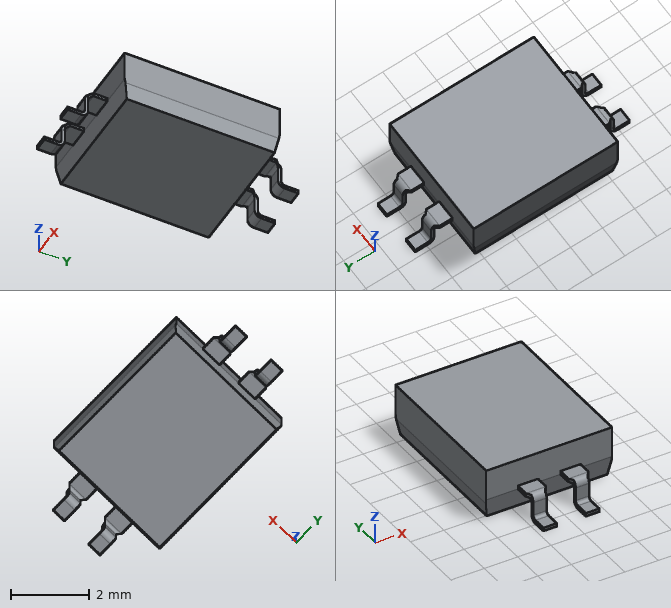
import cadquery as cq
import math

span_y = 6.7
height = 1.61

body_x = 3.77
body_y = 4.5
standoff = 0.1
draft_angle = math.radians(10)
end_break_z = 0.7
side_break_z = 0.57

lead_thickness = 0.1
lead_pitch = 1.27
lead_wide = 0.6
lead_narrow = 0.4
foot_to_riser = 0.495
inner_radius = 0.1
outer_radius = inner_radius + lead_thickness
embed = 0.07


def body_section(plane, width, break_z, length):
    """Prism whose section is straight above break_z and tapers below it."""
    half = width / 2
    half_bottom = half - (break_z - standoff) * math.tan(draft_angle)
    outline = [
        (-half, height),
        (half, height),
        (half, break_z),
        (half_bottom, standoff),
        (-half_bottom, standoff),
        (-half, break_z),
    ]
    return cq.Workplane(plane).polyline(outline).close().extrude(length / 2, both=True)


def make_body():
    across_x = body_section("XZ", body_x, side_break_z, body_y)
    across_y = body_section("YZ", body_y, end_break_z, body_x)
    return across_x.intersect(across_y)


def make_lead():
    """Gull-wing lead on the -Y end, centred on X = 0."""
    tip = -span_y / 2
    riser_outer = tip + foot_to_riser
    riser_inner = riser_outer + lead_thickness
    root = -body_y / 2 + embed
    shoulder_bottom = end_break_z
    shoulder_top = shoulder_bottom + lead_thickness
    bend_start = riser_outer + outer_radius

    strip = (
        cq.Workplane("YZ")
        .moveTo(tip, 0)
        .lineTo(riser_inner - outer_radius, 0)
        .radiusArc((riser_inner, outer_radius), -outer_radius)
        .lineTo(riser_inner, shoulder_bottom - inner_radius)
        .radiusArc((riser_inner + inner_radius, shoulder_bottom), inner_radius)
        .lineTo(root, shoulder_bottom)
        .lineTo(root, shoulder_top)
        .lineTo(bend_start, shoulder_top)
        .radiusArc((riser_outer, shoulder_top - outer_radius), -outer_radius)
        .lineTo(riser_outer, lead_thickness + inner_radius)
        .radiusArc((riser_outer - inner_radius, lead_thickness), inner_radius)
        .lineTo(tip, lead_thickness)
        .close()
        .extrude(lead_wide / 2, both=True)
    )

    plan = (
        cq.Workplane("XY")
        .polyline([
            (-lead_narrow / 2, tip),
            (lead_narrow / 2, tip),
            (lead_narrow / 2, riser_inner),
            (lead_wide / 2, bend_start),
            (lead_wide / 2, root),
            (-lead_wide / 2, root),
            (-lead_wide / 2, bend_start),
            (-lead_narrow / 2, riser_inner),
        ])
        .close()
        .extrude(height)
    )
    return strip.intersect(plan)


result = make_body()
front_lead = make_lead()
back_lead = front_lead.mirror("XZ")
for lead_x in (-lead_pitch / 2, lead_pitch / 2):
    result = result.union(front_lead.translate((lead_x, 0, 0)))
    result = result.union(back_lead.translate((lead_x, 0, 0)))